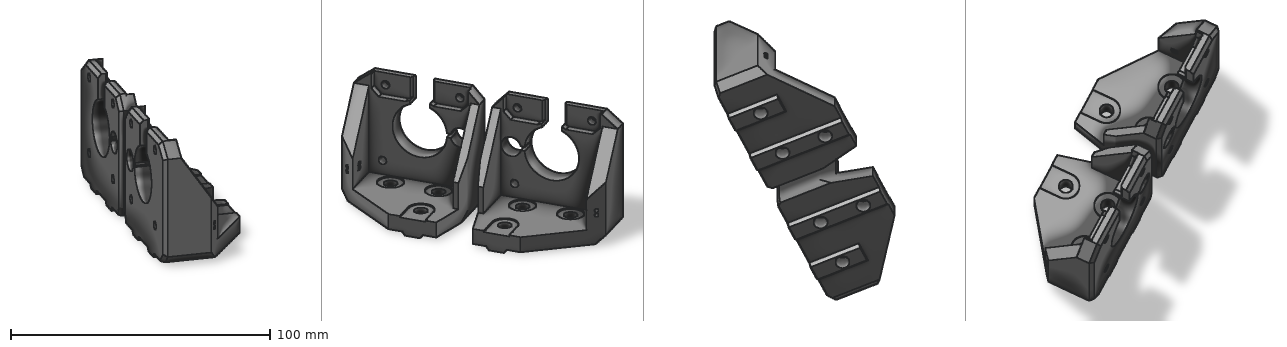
import cadquery as cq
import math

OUTER_X = -55.0
INNER_X = -2.6
DEPTH = 39.2
HEIGHT = 50.2

PLATE_THICKNESS = 7.0
OUTER_TOP_CORNER_WIDTH = 6.7
INNER_TOP_CORNER_WIDTH = 5.0
SHOULDER_Z = 45.0
OUTER_BOTTOM_CORNER_WIDTH = 3.4
INNER_BOTTOM_CORNER_WIDTH = 1.0
BOTTOM_CORNER_Z = 5.0
RIM_CHAMFER = 1.5
FOOT_CHAMFER = 0.3

MOTOR_X = -27.5
MOTOR_Z = 29.5
BORE_DIAMETER = 22.4
BORE_FLARE_DEPTH = 0.9
BORE_FLARE = 0.1
SLOT_WIDTH = 8.4
SLOT_FRONT_CHAMFER = 0.2
SLOT_BACK_CHAMFER = 0.9
MOTOR_HOLE_SPACING = 31.0
MOTOR_HOLE_DIAMETER = 3.3
MOTOR_BAY_WIDTH = 42.4

RECESS_PLATE_THICKNESS = 4.1
RECESS_FLOOR_Z = 40.9
RECESS_FLOOR_WIDTH = 34.1
RECESS_WIDTH = 40.3
RING_DIAMETER = 25.7

ROD_OFFSET = 16.9
ROD_DIAMETER = 8.1
ROD_MOUTH_DIAMETER = 8.7
ROD_MOUTH_DEPTH = 2.9
SLIT_HEIGHT = 1.8
SLIT_FRONT_SKIN = 0.3

BASE_TOP_Z = 8.0
DIAGONAL_START_Y = 19.1
BACK_OUTER_X = -27.5
BACK_INNER_X = -7.6
WALL_BACK_Y = 25.0
WALL_BACK_Z = 19.2

SCREW_OFFSET = 10.0
FRONT_SCREW_Y = 12.3
BACK_SCREW_Y = 30.5
SCREW_DIAMETER = 5.4
SCREW_HEAD_DIAMETER = 10.6
SCREW_HEAD_DEPTH = 0.5
RIDGE_HEIGHT = 1.5
RIDGE_TIP_WIDTH = 6.3
RIDGE_ROOT_WIDTH = 8.6
OUTER_RIDGE_LENGTH = 21.2

TIE_HOLE_DIAMETER = 1.5
TIE_HOLE_Y = 21.3
TIE_HOLE_HEIGHTS = (14.0, 16.0)
TIE_HOLE_LENGTH = 8.8

OVERCUT = 1.1


def prism_along_y(points, start_y, end_y):
    """Extrude an (x, z) outline from start_y to end_y."""
    return cq.Workplane("XZ", origin=(0, start_y, 0)).polyline(points).close().extrude(start_y - end_y)


def rod_along_y(x, z, diameter, start_y, end_y):
    return cq.Workplane("XZ", origin=(x, start_y, z)).circle(diameter / 2).extrude(start_y - end_y)


def cone_along_y(x, z, start_diameter, end_diameter, start_y, end_y):
    return (
        cq.Workplane("XZ", origin=(x, start_y, z))
        .circle(start_diameter / 2)
        .workplane(offset=start_y - end_y)
        .circle(end_diameter / 2)
        .loft()
    )


def box_between(low, high):
    size = [b - a for a, b in zip(low, high)]
    return cq.Workplane("XY").box(*size, centered=False).translate(low)


def ridge_points(x):
    """Corners of one ridge's cross-section, from -X to +X."""
    root = RIDGE_ROOT_WIDTH / 2
    tip = RIDGE_TIP_WIDTH / 2
    return [(x - root, RIDGE_HEIGHT), (x - tip, 0), (x + tip, 0), (x + root, RIDGE_HEIGHT)]


def edges_between(low_z, high_z):
    """Selector of the front edges whose middles lie between two heights."""
    return cq.selectors.BoxSelector(
        (OUTER_X - OVERCUT, -OVERCUT, low_z),
        (INNER_X + OVERCUT, OVERCUT, high_z),
    )


def bracket_blank():
    """Common volume of the front, plan and side outlines, with the front edges chamfered."""
    front = [
        (OUTER_X, BOTTOM_CORNER_Z),
        (OUTER_X + OUTER_BOTTOM_CORNER_WIDTH, RIDGE_HEIGHT),
        *ridge_points(MOTOR_X - SCREW_OFFSET),
        *ridge_points(MOTOR_X + SCREW_OFFSET),
        (INNER_X - INNER_BOTTOM_CORNER_WIDTH, RIDGE_HEIGHT),
        (INNER_X, BOTTOM_CORNER_Z),
        (INNER_X, SHOULDER_Z),
        (INNER_X - INNER_TOP_CORNER_WIDTH, HEIGHT),
        (OUTER_X + OUTER_TOP_CORNER_WIDTH, HEIGHT),
        (OUTER_X, SHOULDER_Z),
    ]
    plan = [
        (OUTER_X, 0),
        (INNER_X, 0),
        (INNER_X, DIAGONAL_START_Y),
        (BACK_INNER_X, DEPTH),
        (BACK_OUTER_X, DEPTH),
        (OUTER_X, DIAGONAL_START_Y),
    ]
    side = [
        (0, 0),
        (DEPTH, 0),
        (DEPTH, BASE_TOP_Z),
        (WALL_BACK_Y, BASE_TOP_Z),
        (WALL_BACK_Y, WALL_BACK_Z),
        (PLATE_THICKNESS, SHOULDER_Z),
        (PLATE_THICKNESS, HEIGHT),
        (0, HEIGHT),
    ]
    front_body = prism_along_y(front, 0, DEPTH)
    foot_top_z = RIDGE_HEIGHT + FOOT_CHAMFER
    rim_edges = edges_between(foot_top_z, HEIGHT + OVERCUT)
    foot_edges = edges_between(-OVERCUT, foot_top_z)
    front_body = front_body.faces("<Y").edges(rim_edges).chamfer(RIM_CHAMFER)
    front_body = front_body.faces("<Y").edges(foot_edges).chamfer(FOOT_CHAMFER)
    plan_body = cq.Workplane("XY").polyline(plan).close().extrude(HEIGHT)
    side_body = cq.Workplane("YZ", origin=(OUTER_X, 0, 0)).polyline(side).close().extrude(INNER_X - OUTER_X)
    return front_body.intersect(plan_body).intersect(side_body)


def motor_bay():
    """Space between the side walls, behind the plate and above the base."""
    half = MOTOR_BAY_WIDTH / 2
    return box_between(
        (MOTOR_X - half, PLATE_THICKNESS, BASE_TOP_Z),
        (MOTOR_X + half, DEPTH + OVERCUT, HEIGHT + OVERCUT),
    )


def outer_ridge_end():
    """Stretch behind the shorter, outer ridge."""
    x = MOTOR_X - SCREW_OFFSET
    half = RIDGE_ROOT_WIDTH / 2
    return box_between(
        (x - half, OUTER_RIDGE_LENGTH, -OVERCUT),
        (x + half, DEPTH + OVERCUT, RIDGE_HEIGHT),
    )


def top_recess():
    """Thin the plate above the bore, leaving a ring around the bore."""
    floor = RECESS_FLOOR_WIDTH / 2
    side = RECESS_WIDTH / 2
    corner_z = RECESS_FLOOR_Z + side - floor
    outline = [
        (MOTOR_X - floor, RECESS_FLOOR_Z),
        (MOTOR_X + floor, RECESS_FLOOR_Z),
        (MOTOR_X + side, corner_z),
        (MOTOR_X + side, HEIGHT + OVERCUT),
        (MOTOR_X - side, HEIGHT + OVERCUT),
        (MOTOR_X - side, corner_z),
    ]
    end_y = PLATE_THICKNESS + OVERCUT
    ring = rod_along_y(MOTOR_X, MOTOR_Z, RING_DIAMETER, RECESS_PLATE_THICKNESS, end_y)
    return prism_along_y(outline, RECESS_PLATE_THICKNESS, end_y).cut(ring)


def motor_bore():
    flare_start = PLATE_THICKNESS - BORE_FLARE_DEPTH
    flare_diameter = BORE_DIAMETER + 2 * BORE_FLARE
    bore = rod_along_y(MOTOR_X, MOTOR_Z, BORE_DIAMETER, -OVERCUT, PLATE_THICKNESS)
    return bore.union(
        cone_along_y(MOTOR_X, MOTOR_Z, BORE_DIAMETER, flare_diameter, flare_start, PLATE_THICKNESS)
    )


def top_slot():
    """Slot from the bore up through the top, finely chamfered at its front."""
    half = SLOT_WIDTH / 2
    right_edge = [
        (half + SLOT_FRONT_CHAMFER, 0),
        (half, SLOT_FRONT_CHAMFER),
        (half, PLATE_THICKNESS),
    ]
    left_edge = [(-x, y) for x, y in reversed(right_edge)]
    slot = cq.Workplane("XY", origin=(MOTOR_X, 0, MOTOR_Z)).polyline(right_edge + left_edge).close()
    return slot.extrude(HEIGHT - MOTOR_Z)


def slot_back_chamfer():
    """Chamfer of the slot's edges at the recess, stopping at the ring."""
    start_y = RECESS_PLATE_THICKNESS - SLOT_BACK_CHAMFER
    narrow = SLOT_WIDTH / 2
    wide = narrow + SLOT_BACK_CHAMFER
    outline = [
        (-narrow, start_y),
        (narrow, start_y),
        (wide, RECESS_PLATE_THICKNESS),
        (-wide, RECESS_PLATE_THICKNESS),
    ]
    wedge = cq.Workplane("XY", origin=(MOTOR_X, 0, MOTOR_Z)).polyline(outline).close()
    ring = rod_along_y(MOTOR_X, MOTOR_Z, RING_DIAMETER, 0, PLATE_THICKNESS)
    return wedge.extrude(HEIGHT - MOTOR_Z).cut(ring)


def motor_screw_holes():
    holes = cq.Workplane("XZ", origin=(MOTOR_X, 0, MOTOR_Z))
    holes = holes.rect(MOTOR_HOLE_SPACING, MOTOR_HOLE_SPACING, forConstruction=True).vertices()
    return holes.circle(MOTOR_HOLE_DIAMETER / 2).extrude(-PLATE_THICKNESS)


def rod_hole():
    x = MOTOR_X + ROD_OFFSET
    hole = rod_along_y(x, MOTOR_Z, ROD_DIAMETER, 0, DEPTH)
    return hole.union(cone_along_y(x, MOTOR_Z, ROD_MOUTH_DIAMETER, ROD_DIAMETER, 0, ROD_MOUTH_DEPTH))


def clamp_slit():
    return box_between(
        (MOTOR_X, SLIT_FRONT_SKIN, MOTOR_Z - SLIT_HEIGHT / 2),
        (MOTOR_X + ROD_OFFSET, PLATE_THICKNESS, MOTOR_Z + SLIT_HEIGHT / 2),
    )


def base_screw_holes():
    """Three counterbored holes; the back counterbore runs out through the back edge."""
    inner_x = MOTOR_X + SCREW_OFFSET
    places = [(MOTOR_X - SCREW_OFFSET, FRONT_SCREW_Y), (inner_x, FRONT_SCREW_Y), (inner_x, BACK_SCREW_Y)]
    seat_z = BASE_TOP_Z - SCREW_HEAD_DEPTH
    shanks = cq.Workplane("XY").pushPoints(places).circle(SCREW_DIAMETER / 2).extrude(BASE_TOP_Z)
    heads = cq.Workplane("XY", origin=(0, 0, seat_z)).pushPoints(places)
    heads = heads.circle(SCREW_HEAD_DIAMETER / 2).extrude(SCREW_HEAD_DEPTH)
    half = SCREW_HEAD_DIAMETER / 2
    run_out = box_between(
        (inner_x - half, BACK_SCREW_Y, seat_z),
        (inner_x + half, DEPTH + OVERCUT, BASE_TOP_Z),
    )
    return shanks.union(heads).union(run_out)


def tie_hole(z):
    """Hole through the outer wall, square to its diagonal back face."""
    run_x = BACK_OUTER_X - OUTER_X
    run_y = DEPTH - DIAGONAL_START_Y
    length = math.hypot(run_x, run_y)
    inward = cq.Vector(run_y / length, -run_x / length, 0)
    x = OUTER_X + (TIE_HOLE_Y - DIAGONAL_START_Y) * run_x / run_y
    start = cq.Vector(x, TIE_HOLE_Y, z) - inward * OVERCUT
    return cq.Solid.makeCylinder(TIE_HOLE_DIAMETER / 2, TIE_HOLE_LENGTH, start, inward)


def motor_bracket():
    bracket = bracket_blank().cut(motor_bay()).cut(outer_ridge_end())
    bracket = bracket.cut(top_recess()).cut(top_slot()).cut(slot_back_chamfer())
    bracket = bracket.cut(motor_bore()).cut(motor_screw_holes()).cut(rod_hole())
    bracket = bracket.cut(clamp_slit()).cut(base_screw_holes())
    for z in TIE_HOLE_HEIGHTS:
        bracket = bracket.cut(cq.Workplane(tie_hole(z)))
    return bracket.solids()


left_bracket = motor_bracket()
right_bracket = left_bracket.mirror("YZ")

result = cq.Compound.makeCompound([left_bracket.val(), right_bracket.val()])